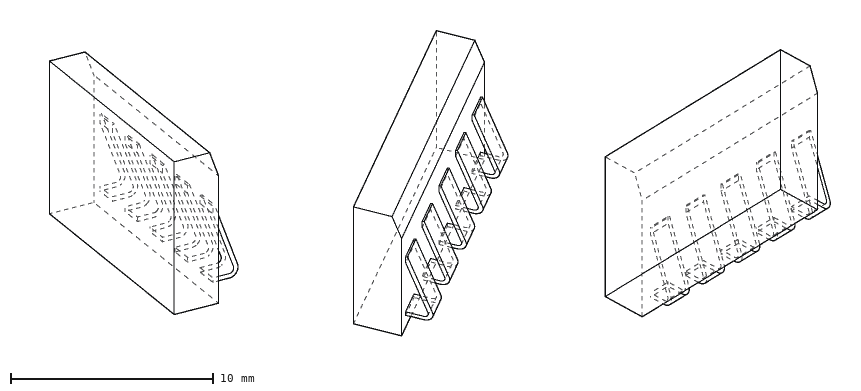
import cadquery as cq
import math

body_length = 12.62
body_depth = 2.52
body_height = 8.48
bevel_depth = 0.5
bevel_height = 1.41

contact_count = 5
contact_pitch = 2.54
contact_width = 1.27
contact_reach = 1.44
strip_thickness = 0.25
bend_radius = 0.5
leg_bottom = 0.9
arm_angle = math.radians(20)
tip_gap = 0.1
leg_embed = 0.13


def make_body():
    """Housing with its contact face on the plane Y = 0 and a beveled top edge."""
    return (
        cq.Workplane("YZ")
        .moveTo(-body_depth, 0)
        .lineTo(0, 0)
        .lineTo(0, body_height - bevel_height)
        .lineTo(-bevel_depth, body_height)
        .lineTo(-body_depth, body_height)
        .close()
        .extrude(body_length / 2, both=True)
    )


def make_contact(center_x):
    """Horizontal leg, round bend and straight arm leaning back into the housing."""
    bend_y = contact_reach - bend_radius
    bend_z = leg_bottom + bend_radius
    inner_radius = bend_radius - strip_thickness

    def on_bend(radius, angle):
        return (bend_y + radius * math.cos(angle), bend_z + radius * math.sin(angle))

    def along_arm(start, length):
        return (start[0] - length * math.sin(arm_angle), start[1] + length * math.cos(arm_angle))

    middle_angle = (arm_angle - math.pi / 2) / 2
    outer_bend_end = on_bend(bend_radius, arm_angle)
    inner_bend_end = on_bend(inner_radius, arm_angle)
    arm_length = (outer_bend_end[0] - tip_gap) / math.sin(arm_angle)

    return (
        cq.Workplane("YZ", origin=(center_x, 0, 0))
        .moveTo(-leg_embed, leg_bottom)
        .lineTo(bend_y, leg_bottom)
        .threePointArc(on_bend(bend_radius, middle_angle), outer_bend_end)
        .lineTo(*along_arm(outer_bend_end, arm_length))
        .lineTo(*along_arm(inner_bend_end, arm_length))
        .lineTo(*inner_bend_end)
        .threePointArc(on_bend(inner_radius, middle_angle), (bend_y, leg_bottom + strip_thickness))
        .lineTo(-leg_embed, leg_bottom + strip_thickness)
        .close()
        .extrude(contact_width / 2, both=True)
    )


result = make_body()
for index in range(contact_count):
    center_x = (index - (contact_count - 1) / 2) * contact_pitch
    result = result.union(make_contact(center_x))